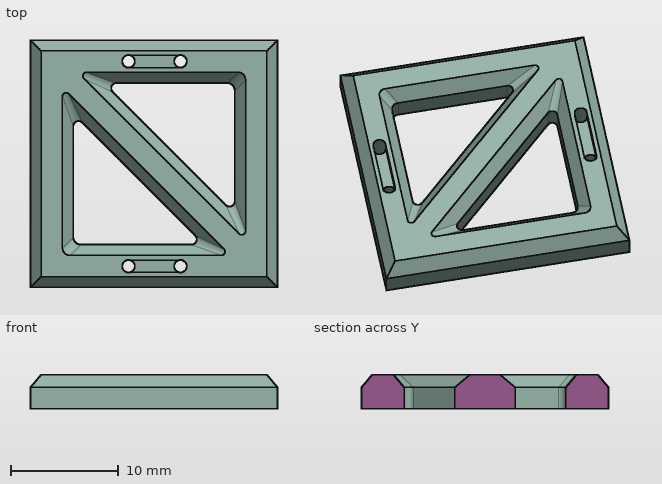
import cadquery as cq
import math

side = 23.0
height = 3.2
bevel_width = 1.01
bevel_height = 1.2
base_height = height - bevel_height

rim_width = 3.0
bar_width = 2.0
square_corner_radius = 0.7
tip_radius_waist = 0.48
tip_radius_top = 0.35

slot_width = 1.15
hole_spacing = 4.83
slot_offset = 9.52
slot_centre_x = 0.05
slot_depth = 0.7


def frame_body():
    """Square plate whose upper outer edges are bevelled."""
    plate = cq.Workplane("XY").box(side, side, height, centered=(True, True, False))
    return plate.faces(">Z").chamfer(bevel_height, bevel_width)


def window_outline(inset, z, tip_radius):
    """Rounded triangle of the upper-right window, moved inward by inset on every side."""
    edge = side / 2 - rim_width - inset
    diagonal_sum = math.sqrt(2) * (bar_width / 2 + inset)
    tip = diagonal_sum - edge
    corners = [cq.Vector(edge, edge, z), cq.Vector(tip, edge, z), cq.Vector(edge, tip, z)]
    outline = cq.Wire.makePolygon(corners, close=True)
    square_corner = max(outline.Vertices(), key=lambda corner: corner.X + corner.Y)
    outline = outline.fillet2D(square_corner_radius, [square_corner])
    left_tip = min(outline.Vertices(), key=lambda corner: corner.X)
    lower_tip = min(outline.Vertices(), key=lambda corner: corner.Y)
    return outline.fillet2D(tip_radius, [left_tip, lower_tip])


def window_cutter():
    """Rounded triangular opening: straight below, flared towards the top face."""
    bottom = window_outline(bevel_width, 0, tip_radius_waist)
    waist = window_outline(bevel_width, base_height, tip_radius_waist)
    top = window_outline(0, height, tip_radius_top)
    straight = cq.Solid.makeLoft([bottom, waist], True)
    flare = cq.Solid.makeLoft([waist, top], True)
    return cq.Workplane(straight).union(cq.Workplane(flare))


def thread_slot(y):
    """Shallow channel running between the centres of two through holes."""
    channel = (
        cq.Workplane("XY").workplane(offset=height - slot_depth)
        .center(slot_centre_x, y)
        .rect(hole_spacing, slot_width)
        .extrude(slot_depth)
    )
    holes = (
        cq.Workplane("XY").center(slot_centre_x, y)
        .pushPoints([(-hole_spacing / 2, 0), (hole_spacing / 2, 0)])
        .circle(slot_width / 2)
        .extrude(height)
    )
    return channel.union(holes)


window = window_cutter()
result = frame_body()
for turn in (0, 180):
    result = result.cut(window.rotate((0, 0, 0), (0, 0, 1), turn))
for slot_y in (-slot_offset, slot_offset):
    result = result.cut(thread_slot(slot_y))